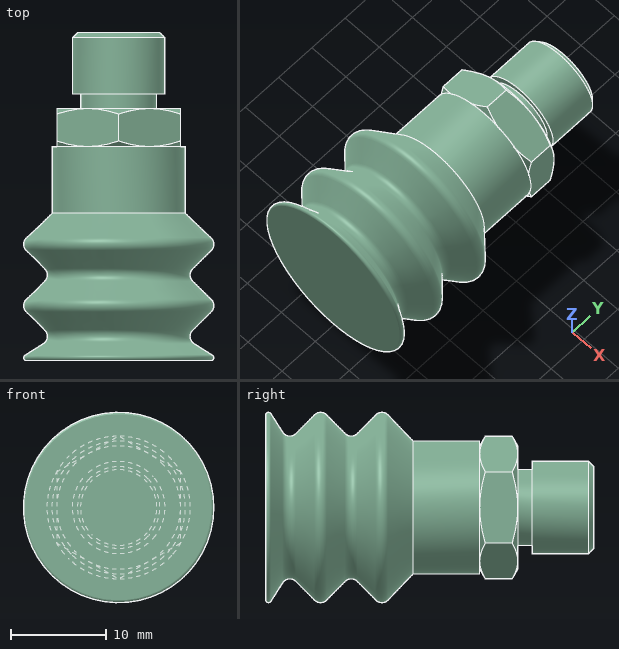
import cadquery as cq
import math


total_length = 34.5
thread_length = 6.5
neck_length = 1.5
hex_length = 4.0
collar_length = 7.0

thread_diameter = 9.73
thread_chamfer = 0.55
neck_diameter = 8.0
collar_diameter = 14.0

hex_across_flats = 13.0
hex_chamfer_angle = math.radians(30)

fold_radius = 10.02
valley_radius = 7.52
fold_round = 0.9
fold_pitch = 6.45
first_valley_y = 2.55
ridge_count = 2

mouth_radius = 9.77
rim_thickness = 0.55
rim_widest_y = 0.31
rim_back_radius = 9.9
lip_angle = math.radians(58)

thread_start = total_length - thread_length
hex_top = thread_start - neck_length
hex_bottom = hex_top - hex_length
bellows_top = hex_bottom - collar_length

flank_angle = math.radians(45)
arc_half_width = fold_round * math.sin(flank_angle)
arc_depth = fold_round * (1 - math.cos(flank_angle))


def add_fold(profile, crest_y, crest_radius, outward):
    """Add one rounded fold; outward is +1 for a ridge and -1 for a groove."""
    edge_radius = crest_radius - outward * arc_depth
    return (
        profile.lineTo(edge_radius, crest_y - arc_half_width)
        .threePointArc((crest_radius, crest_y), (edge_radius, crest_y + arc_half_width))
    )


def add_lip_valley(profile):
    """Add the groove behind the flared lip, blending the lip into the next flank."""
    centre_radius = valley_radius + fold_round
    start = (
        centre_radius - fold_round * math.cos(lip_angle),
        first_valley_y - fold_round * math.sin(lip_angle),
    )
    end = (valley_radius + arc_depth, first_valley_y + arc_half_width)
    return profile.lineTo(*start).threePointArc((valley_radius, first_valley_y), end)


def make_bellows():
    profile = (
        cq.Workplane("XY")
        .lineTo(mouth_radius, 0)
        .threePointArc((fold_radius, rim_widest_y), (rim_back_radius, rim_thickness))
    )
    profile = add_lip_valley(profile)
    for index in range(ridge_count):
        valley_y = first_valley_y + index * fold_pitch
        if index > 0:
            profile = add_fold(profile, valley_y, valley_radius, -1)
        profile = add_fold(profile, valley_y + fold_pitch / 2, fold_radius, 1)
    profile = profile.lineTo(collar_diameter / 2, bellows_top).lineTo(0, bellows_top).close()
    return profile.revolve(360, (0, 0, 0), (0, 1, 0))


def make_cylinder(diameter, start_y, length):
    return cq.Workplane("XZ", origin=(0, start_y, 0)).circle(diameter / 2).extrude(-length)


def make_hexagon():
    """Hexagonal prism whose corners are turned down by a cone at both ends."""
    across_corners = hex_across_flats / math.cos(math.pi / 6)
    corner_radius = across_corners / 2
    flat_radius = hex_across_flats / 2
    chamfer_length = (corner_radius - flat_radius) * math.tan(hex_chamfer_angle)
    prism = (
        cq.Workplane("XZ", origin=(0, hex_bottom, 0))
        .transformed(rotate=(0, 0, 90))
        .polygon(6, across_corners)
        .extrude(-hex_length)
    )
    turned_blank = (
        cq.Workplane("XY")
        .moveTo(0, hex_bottom)
        .lineTo(flat_radius, hex_bottom)
        .lineTo(corner_radius, hex_bottom + chamfer_length)
        .lineTo(corner_radius, hex_top - chamfer_length)
        .lineTo(flat_radius, hex_top)
        .lineTo(0, hex_top)
        .close()
        .revolve(360, (0, 0, 0), (0, 1, 0))
    )
    return prism.intersect(turned_blank)


def make_thread():
    thread = make_cylinder(thread_diameter, thread_start, thread_length)
    return thread.faces(">Y").chamfer(thread_chamfer)


collar = make_cylinder(collar_diameter, bellows_top, collar_length)
neck = make_cylinder(neck_diameter, hex_top, neck_length)

result = make_bellows().union(collar).union(make_hexagon()).union(neck).union(make_thread())